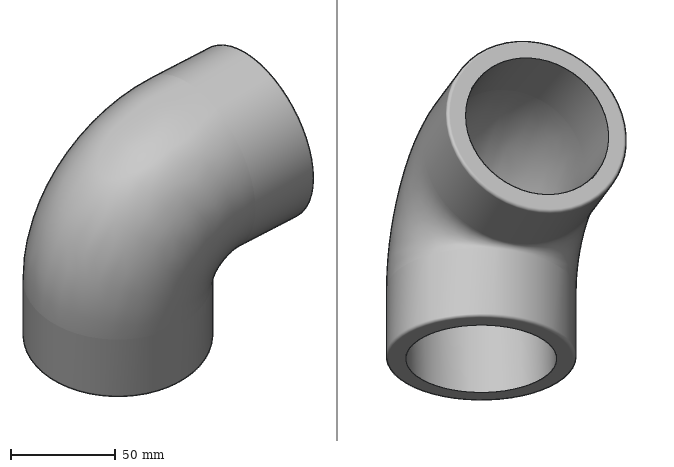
import cadquery as cq

overall_size = 130.0
outer_diameter = 91.0
bore_diameter = 72.3
socket_length = 36.4
rim_fillet = 1.5

outer_radius = outer_diameter / 2
bend_radius = overall_size - socket_length - outer_radius

bend_center_y = overall_size / 2 - socket_length
bend_center_z = -bend_center_y
upright_axis_y = bend_center_y - bend_radius
level_axis_z = bend_center_z + bend_radius


def elbow_solid(diameter):
    """Solid rod following the elbow: lower socket, bend, rear socket."""
    radius = diameter / 2
    lower_socket = (
        cq.Workplane("XY", origin=(0, upright_axis_y, -overall_size / 2))
        .circle(radius)
        .extrude(socket_length)
    )
    bend = (
        cq.Workplane("XY", origin=(0, upright_axis_y, bend_center_z))
        .circle(radius)
        .revolve(90, (0, bend_radius, 0), (-1, bend_radius, 0))
    )
    rear_socket = (
        cq.Workplane("XZ", origin=(0, overall_size / 2, level_axis_z))
        .circle(radius)
        .extrude(socket_length)
    )
    return lower_socket.union(bend).union(rear_socket)


body = elbow_solid(outer_diameter)
body = body.faces("<Z").edges().fillet(rim_fillet)
body = body.faces(">Y").edges().fillet(rim_fillet)

result = body.cut(elbow_solid(bore_diameter))